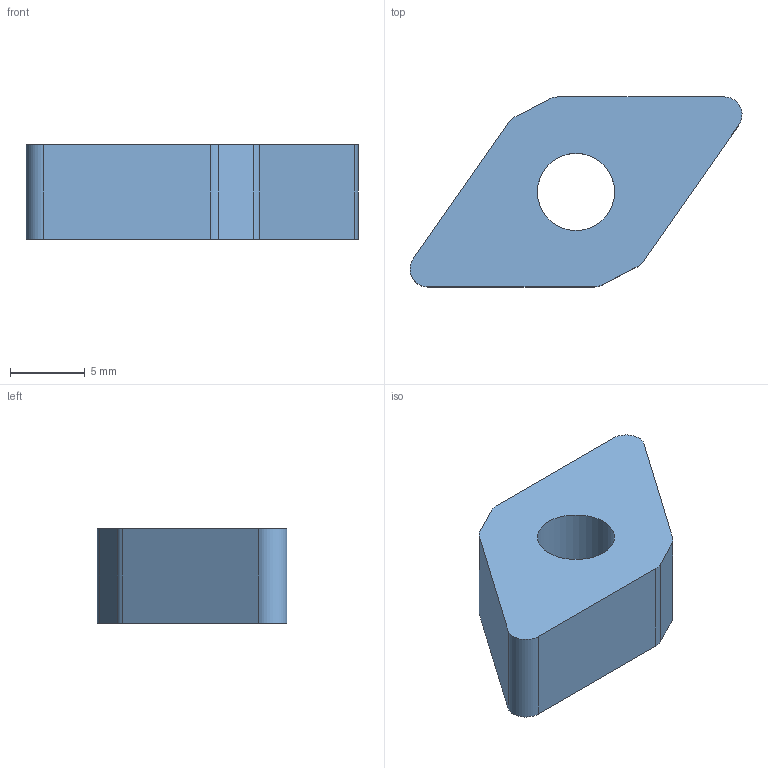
import cadquery as cq
import math

inscribed_diameter = 12.7
thickness = 6.35
nose_angle = 55.0
nose_radius = 1.191
hole_diameter = 5.16
corner_cut = 1.8
blend_radius = nose_radius
selection_margin = 0.05

half_height = inscribed_diameter / 2
half_angle = math.radians(nose_angle / 2)
nose_x = half_height / math.tan(half_angle)
obtuse_x = half_height * math.tan(half_angle)
rhombus = [
    (-nose_x, -half_height),
    (obtuse_x, -half_height),
    (nose_x, half_height),
    (-obtuse_x, half_height),
]


def edges_near(corner_x, corner_y):
    """Return a selector for edges centred within the corner cut of a corner."""
    reach = corner_cut + selection_margin
    return cq.selectors.BoxSelector(
        (corner_x - reach, corner_y - reach, -thickness),
        (corner_x + reach, corner_y + reach, thickness),
    )


def round_noses(body):
    """Round the two acute corners."""
    noses = edges_near(nose_x, half_height) + edges_near(-nose_x, -half_height)
    return body.edges("|Z").edges(noses).fillet(nose_radius)


def cut_obtuse_corners(body):
    """Bevel the two obtuse corners and blend the ends of each bevel."""
    corners = edges_near(obtuse_x, -half_height) + edges_near(-obtuse_x, half_height)
    body = body.edges("|Z").edges(corners).chamfer(corner_cut)
    return body.edges("|Z").edges(corners).fillet(blend_radius)


blank = cq.Workplane("XY").polyline(rhombus).close().extrude(thickness / 2, both=True)
insert = cut_obtuse_corners(round_noses(blank))

result = insert.faces(">Z").workplane(origin=(0, 0, 0)).hole(hole_diameter)